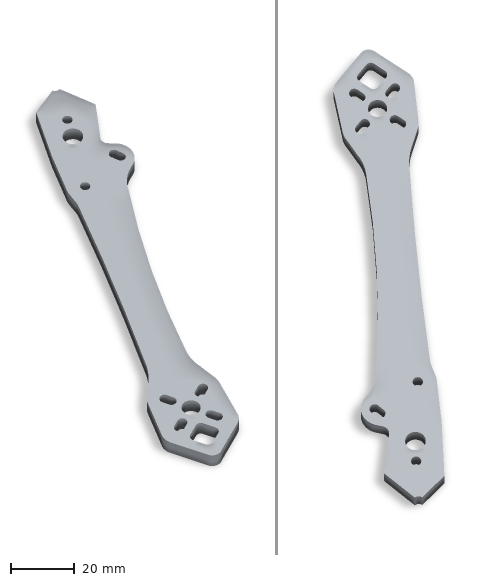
import cadquery as cq

length = 120.0
width = 111.1
thickness = 5.0

screw_diameter = 3.2
wire_hole_diameter = 6.5
shaft_hole_diameter = 6.0
slot_length = 5.6

screw_centers = [(10.1, 101.2), (28.6, 79.8)]
wire_hole_center = (15.0, 96.0)
frame_slot_center = (31.0, 96.0)

motor_center = (102.9, 15.8)
motor_angle = 5.3
motor_slot_radius = 7.9
window_offset = 8.3
window_size = 7.7
window_corner_radius = 1.7


def arm_outline():
    """Closed plate outline, clockwise from the notched upper left corner."""
    notch = screw_diameter / 2
    notch_middle = notch * 0.5 ** 0.5
    return (
        cq.Workplane("XY")
        .moveTo(0, width - notch)
        .threePointArc((notch_middle, width - notch_middle), (notch, width))
        .lineTo(14.6, width)
        .lineTo(22.9, 99.5)
        .threePointArc((24.4, 98.7), (26.2, 99.0))
        .lineTo(28.0, 100.0)
        .threePointArc((34.2, 99.9), (37.1, 94.8))
        .threePointArc((38.0, 89.9), (40.8, 85.6))
        .threePointArc((63.7, 59.8), (90.0, 35.5))
        .threePointArc((93.1, 33.5), (96.7, 32.3))
        .lineTo(102.3, 30.7)
        .threePointArc((104.2, 30.1), (105.9, 29.0))
        .lineTo(116.7, 20.9)
        .threePointArc((118.1, 19.3), (118.7, 17.4))
        .lineTo(119.9, 5.4)
        .threePointArc((length, 4.2), (117.3, 1.3))
        .lineTo(104.0, 0)
        .threePointArc((102.4, 0.2), (101.0, 1.0))
        .lineTo(90.0, 10.9)
        .threePointArc((89.4, 11.6), (89.0, 12.4))
        .lineTo(86.3, 17.9)
        .threePointArc((83.9, 22.1), (80.5, 25.7))
        .threePointArc((54.3, 50.7), (30.8, 71.5))
        .threePointArc((29.9, 72.3), (28.8, 72.9))
        .lineTo(26.2, 74.3)
        .threePointArc((24.8, 75.1), (23.6, 76.2))
        .lineTo(13.5, 85.5)
        .lineTo(0, 99.1)
        .close()
    )


def round_cutter(centers, diameter):
    return cq.Workplane("XY").pushPoints(centers).circle(diameter / 2).extrude(thickness)


def slot_cutter(center, angle=0):
    return (
        cq.Workplane("XY")
        .center(*center)
        .slot2D(slot_length, screw_diameter, angle)
        .extrude(thickness)
    )


def motor_cutter():
    """Shaft hole, four radial screw slots and the rounded square window."""
    cutter = round_cutter([(0, 0)], shaft_hole_diameter)
    for side in (-motor_slot_radius, motor_slot_radius):
        cutter = cutter.union(slot_cutter((side, 0)))
        cutter = cutter.union(slot_cutter((0, side), 90))
    window = (
        cq.Workplane("XY")
        .center(window_offset, -window_offset)
        .rect(window_size, window_size)
        .extrude(thickness)
        .edges("|Z")
        .fillet(window_corner_radius)
    )
    return (
        cutter.union(window)
        .rotate((0, 0, 0), (0, 0, 1), motor_angle)
        .translate((*motor_center, 0))
    )


result = (
    arm_outline()
    .extrude(thickness)
    .cut(round_cutter(screw_centers, screw_diameter))
    .cut(round_cutter([wire_hole_center], wire_hole_diameter))
    .cut(slot_cutter(frame_slot_center))
    .cut(motor_cutter())
)